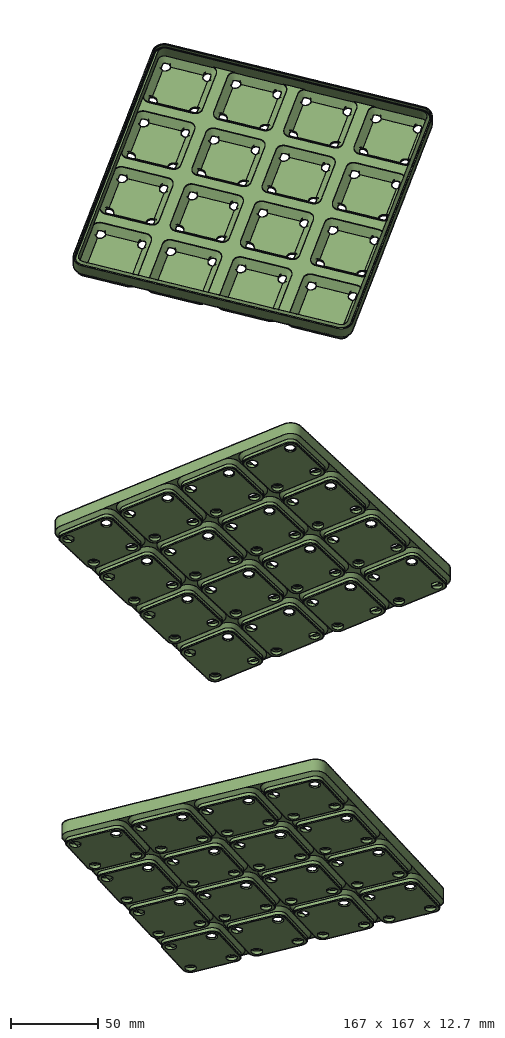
import cadquery as cq
tray_side = 167.0
tray_height = 12.7
tray_corner_radius = 7.0

cells_per_side = 4
foot_gap = 1.0
pitch = (tray_side + foot_gap) / cells_per_side
foot_side = pitch - foot_gap

foot_bottom_chamfer = 0.5
foot_straight_height = 2.2
foot_flare = 2.2
foot_height = foot_bottom_chamfer + foot_straight_height + foot_flare

lip_thickness = 0.8
groove_floor_width = 0.6
groove_slope_width = 1.7
groove_depth = 2.0
ridge_inset = lip_thickness + groove_floor_width + groove_slope_width

pocket_floor_height = 1.2
pocket_slope = 4.2
pocket_floor_side = 26.9
pocket_floor_radius = 0.2
pocket_step = 0.5
tray_floor_height = pocket_floor_height + pocket_slope + pocket_step

magnet_diameter = 6.5
magnet_depth = 2.2
magnet_spacing = 26.0


def rounded_block(side, radius, bottom, height, growth=0.0):
    """Rounded square prism whose sides move outward by growth over its height."""
    sketch = cq.Sketch().rect(side, side).vertices().fillet(radius)
    lower = cq.Workplane("XY").workplane(offset=bottom).placeSketch(sketch)
    if growth == 0:
        return lower.extrude(height)
    upper_side = side + 2 * growth
    upper_sketch = cq.Sketch().rect(upper_side, upper_side).vertices().fillet(radius + growth)
    return lower.placeSketch(sketch, upper_sketch.moved(cq.Location(cq.Vector(0, 0, height)))).loft()


def make_foot():
    straight_side = foot_side - 2 * foot_flare
    straight_radius = tray_corner_radius - foot_flare
    flare_bottom = foot_bottom_chamfer + foot_straight_height
    base = rounded_block(
        straight_side - 2 * foot_bottom_chamfer,
        straight_radius - foot_bottom_chamfer,
        0,
        foot_bottom_chamfer,
        foot_bottom_chamfer,
    )
    straight = rounded_block(straight_side, straight_radius, foot_bottom_chamfer, foot_straight_height)
    flare = rounded_block(straight_side, straight_radius, flare_bottom, foot_flare, foot_flare)
    return base.union(straight).union(flare)


def make_pocket():
    slope = rounded_block(
        pocket_floor_side, pocket_floor_radius, pocket_floor_height, pocket_slope, pocket_slope
    )
    step = rounded_block(
        pocket_floor_side + 2 * pocket_slope,
        pocket_floor_radius + pocket_slope,
        pocket_floor_height + pocket_slope,
        pocket_step,
    )
    return slope.union(step)


def make_magnet_holes():
    return (
        cq.Workplane("XY")
        .rarray(magnet_spacing, magnet_spacing, 2, 2)
        .circle(magnet_diameter / 2)
        .extrude(magnet_depth, combine=False)
        .combine()
    )


def make_rim_groove():
    groove_bottom = tray_height - groove_depth
    outer = rounded_block(
        tray_side - 2 * lip_thickness, tray_corner_radius - lip_thickness, groove_bottom, groove_depth
    )
    core_inset = lip_thickness + groove_floor_width
    core = rounded_block(
        tray_side - 2 * core_inset,
        tray_corner_radius - core_inset,
        groove_bottom,
        groove_depth,
        -groove_slope_width,
    )
    return outer.cut(core)


def at_each_cell(part):
    shape = part.val()
    cells = cq.Workplane("XY").rarray(pitch, pitch, cells_per_side, cells_per_side)
    copies = cells.eachpoint(lambda place: shape.moved(place))
    return cq.Workplane(cq.Compound.makeCompound(copies.vals()))


def make_cavity(bottom):
    """Space inside the rim wall, from the given height to the top."""
    side = tray_side - 2 * ridge_inset
    return rounded_block(side, tray_corner_radius - ridge_inset, bottom, tray_height - bottom)


def make_tray():
    body = rounded_block(tray_side, tray_corner_radius, foot_height, tray_height - foot_height)
    pockets = at_each_cell(make_pocket()).intersect(make_cavity(pocket_floor_height))
    return (
        body.union(at_each_cell(make_foot()))
        .cut(make_cavity(tray_floor_height))
        .cut(pockets)
        .cut(at_each_cell(make_magnet_holes()))
        .cut(make_rim_groove())
    )


result = cq.Workplane(make_tray().solids().val())